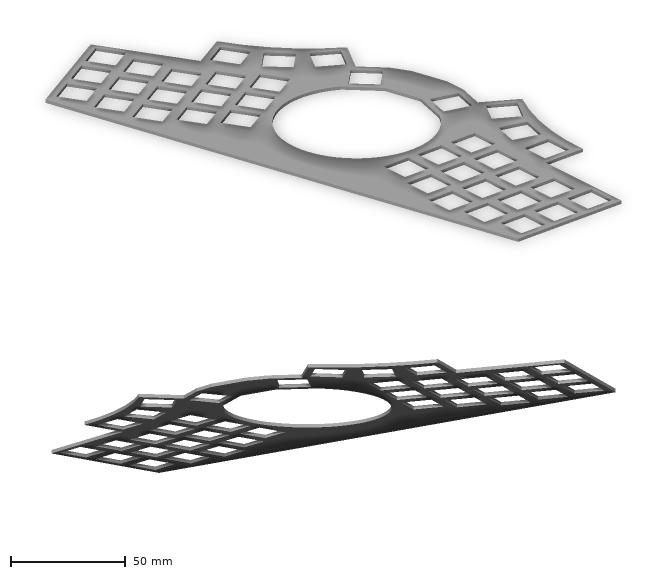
import cadquery as cq
import math

plate_thickness = 1.5
key_hole = 14.0
key_pitch = 19.0
side_margin = 10.4
hand_tilt = 15

outer_column_across = -110.0
column_along = [63.0, 58.2, 54.3, 58.2, 61.5]
rows = [-1, 0, 1]

fan_center = (-104.5, 161.7)
fan_radius = 82.3
fan_angles = [15, 30, 45]
fan_start_margin = 11.8
fan_tip_margin = 9.8
fan_edge_radius = 110.5

opening_center_y = 57.5
opening_radius = 36.6

bridge_center_y = 58.5
bridge_angle = 30
bridge_key_radius = 45.0
bridge_margin = 10.4
bridge_width = key_pitch
bridge_inner_radius = bridge_key_radius - bridge_margin
bridge_outer_radius = bridge_key_radius + bridge_margin


def from_hand_frame(across, along):
    """Turns a place in the left hand's tilted frame into X and Y."""
    tilt = math.radians(hand_tilt)
    x = across * math.cos(tilt) - along * math.sin(tilt)
    y = across * math.sin(tilt) + along * math.cos(tilt)
    return (x, y)


def fan_point(radius, angle, sideways=0):
    """Place on the fan, `radius` out from its centre and `sideways` along the tangent."""
    turn = math.radians(angle)
    x = fan_center[0] + radius * math.sin(turn) + sideways * math.cos(turn)
    y = fan_center[1] - radius * math.cos(turn) + sideways * math.sin(turn)
    return (x, y)


def bridge_point(radius, angle, sideways=0):
    """Place on the bridge turned left by `angle`; `sideways` runs to the right along it."""
    turn = math.radians(angle)
    x = -radius * math.sin(turn) + sideways * math.cos(turn)
    y = bridge_center_y + radius * math.cos(turn) + sideways * math.sin(turn)
    return (x, y)


def left_keys():
    """Centre and tilt of every switch hole of the left half."""
    keys = []
    for column, middle in enumerate(column_along):
        across = outer_column_across + column * key_pitch
        for row in rows:
            keys.append((from_hand_frame(across, middle + row * key_pitch), hand_tilt))
    for angle in fan_angles:
        keys.append((fan_point(fan_radius, angle), angle))
    keys.append((bridge_point(bridge_key_radius, bridge_angle), bridge_angle))
    return keys


def left_plate():
    """Left half of the plate without the bridges, the opening and the key holes."""
    tilt = math.radians(hand_tilt)
    outer_across = outer_column_across - side_margin
    top_along = column_along[0] + key_pitch + key_pitch / 2

    front_along = -outer_across * math.tan(tilt)
    front_corner = from_hand_frame(outer_across, front_along)
    outer_corner = from_hand_frame(outer_across, top_along)

    fan_center_across = fan_center[0] * math.cos(tilt) + fan_center[1] * math.sin(tilt)
    step_corner = from_hand_frame(fan_center_across - side_margin, top_along)

    fan_start = fan_point(fan_radius - fan_start_margin, fan_angles[0], -side_margin)
    fan_tip = fan_point(fan_radius - fan_tip_margin, fan_angles[-1], side_margin)

    inner_end = fan_point(fan_radius + key_pitch / 2, fan_angles[-1], side_margin)
    return (
        cq.Workplane("XY")
        .moveTo(*front_corner)
        .lineTo(*outer_corner)
        .lineTo(*step_corner)
        .lineTo(*fan_start)
        .radiusArc(fan_tip, -fan_edge_radius)
        .lineTo(*inner_end)
        .lineTo(0, bridge_center_y)
        .lineTo(0, 0)
        .close()
        .extrude(plate_thickness)
    )


def left_key_holes():
    """Square prisms that cut the switch holes of the left half."""
    holes = cq.Workplane("XY")
    for center, angle in left_keys():
        square = (
            cq.Workplane("XY")
            .rect(key_hole, key_hole)
            .extrude(plate_thickness)
            .rotate((0, 0, 0), (0, 0, 1), angle)
            .translate((*center, 0))
        )
        holes = holes.add(square)
    return holes.combine()


def bridges():
    """Band behind the opening: three straight outer edges joined by short flats."""
    outline = [(0, bridge_center_y)]
    for angle in [bridge_angle, 0, -bridge_angle]:
        for sideways in [-bridge_width / 2, bridge_width / 2]:
            outline.append(bridge_point(bridge_outer_radius, angle, sideways))
    return cq.Workplane("XY").polyline(outline).close().extrude(plate_thickness)


def opening():
    """Round opening, cut off straight along the inner edge of each bridge."""
    hole = (
        cq.Workplane("XY")
        .center(0, opening_center_y)
        .circle(opening_radius)
        .extrude(plate_thickness)
    )
    for angle in [bridge_angle, 0, -bridge_angle]:
        beyond_edge = (
            cq.Workplane("XY")
            .rect(2 * opening_radius, opening_radius)
            .extrude(plate_thickness)
            .rotate((0, 0, 0), (0, 0, 1), angle)
            .translate((*bridge_point(bridge_inner_radius + opening_radius / 2, angle), 0))
        )
        hole = hole.cut(beyond_edge)
    return hole


half = left_plate()
key_holes = left_key_holes()
plate = half.union(half.mirror("YZ")).union(bridges())
plate = plate.cut(opening())
result = plate.cut(key_holes).cut(key_holes.mirror("YZ")).clean()